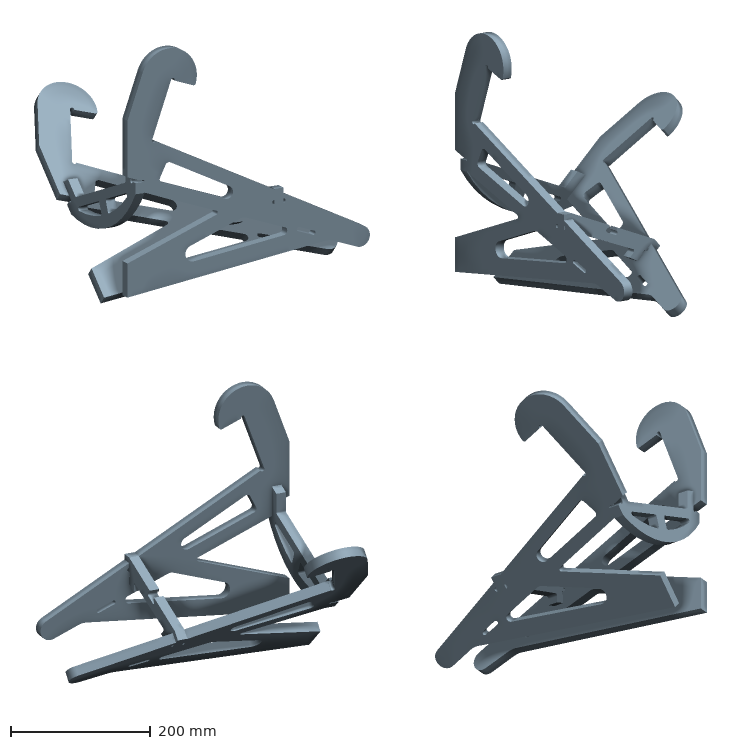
import cadquery as cq
import math


THICKNESS = 15.0
CUTTER_RADIUS = 3.0
OVERALL_WIDTH = 343.7
OVERALL_HEIGHT = 389.2
PLATE_ANGLE = 47.0
RAKE = 20.0
TOP_SLOPE = 26.7
UNDER_SLOPE = 7.2

HOOK_CENTRE = (67.7, 315.5)
HOOK_RADIUS = 45.5
THROAT = (71.3, 314.0)
NOSE_CENTRE = (380.0, 40.0)
NOSE_RADIUS = 16.0
HEEL_RADIUS = 27.7
NECK_BOTTOM = 178.5
LEG_TOP = 50.5
FORK_TOP = 162.5

FRONT_BEAM_Y = 13.0
FRONT_SEAT = 168.3
REAR_BEAM_Y = 240.0
REAR_SEAT = 106.5

UPPER_END_CENTRE = (162.7, 134.2)
UPPER_END_RADIUS = 9.5
UPPER_FRONT_POINT = (57.5, 179.5)
UPPER_CORNER_RADIUS = 6.0
LOWER_REAR_CENTRE = (255.0, 64.0)
LOWER_REAR_RADIUS = 6.0
LOWER_FRONT_CENTRE = (107.0, 51.5)
LOWER_FRONT_RADIUS = 12.3
LOWER_APEX_RADIUS = 12.0
SLOT_FRONT = (279.5, 64.0)
SLOT_LENGTH = 25.7

FRONT_TOP_EDGE = 161.5
FRONT_BOTTOM = 151.5
FRONT_LUG_TIP = 198.0
REAR_END_TOP = 129.0
REAR_BOTTOM_EDGE = 96.5
REAR_LUG_TIP = 88.0
LUG_SLANT = 6.0
BELLY_SAG = 34.0
BEAM_WINDOW_LENGTH = 176.5
BEAM_WINDOW_SAG = 21.8
BEAM_WINDOW_DROP = 14.5
RIB_WIDTH = 20.5
NOTCH_DEPTH = 11.0


def polar(centre, radius, degrees):
    """Point on a circle."""
    angle = math.radians(degrees)
    return (centre[0] + radius * math.cos(angle), centre[1] + radius * math.sin(angle))


def meet(p, p_degrees, q, q_degrees):
    """Crossing of the line through p and the line through q, each given by its angle."""
    px, py = polar((0, 0), 1, p_degrees)
    qx, qy = polar((0, 0), 1, q_degrees)
    reach = ((q[0] - p[0]) * qy - (q[1] - p[1]) * qx) / (px * qy - py * qx)
    return (p[0] + reach * px, p[1] + reach * py)


def midpoint(p, q):
    return ((p[0] + q[0]) / 2, (p[1] + q[1]) / 2)


def in_plate(wire):
    """Sheet-thick solid from an outline in the plate's (Y, Z)."""
    return wire.extrude(THICKNESS)


def plate_sketch():
    return cq.Workplane("YZ")


def round_plate_corner(solid, corner, radius):
    """Round the through-thickness edge at a (Y, Z) corner."""
    place = (THICKNESS / 2, corner[0], corner[1])
    return solid.edges("|X").edges(cq.NearestToPointSelector(place)).fillet(radius)


def edge_relief(corner, edge_degrees, wall_degrees):
    """Centre on an edge, such that the relief just touches the wall at the corner."""
    spread = math.radians(wall_degrees - edge_degrees)
    return polar(corner, CUTTER_RADIUS / math.sin(spread), edge_degrees)


def plate_blank():
    """Plate with its outline and corner reliefs, before any opening."""
    front_tangent = polar(HOOK_CENTRE, HOOK_RADIUS, 180 - RAKE)
    front_top = meet(front_tangent, 90 - RAKE, (0, 0), 90)
    offset = (THROAT[0] - HOOK_CENTRE[0], THROAT[1] - HOOK_CENTRE[1])
    along = polar((0, 0), 1, -RAKE)
    lean = offset[0] * along[0] + offset[1] * along[1]
    gap = HOOK_RADIUS ** 2 - offset[0] ** 2 - offset[1] ** 2
    tip = polar(THROAT, math.sqrt(lean ** 2 + gap) - lean, -RAKE)

    nose_top = polar(NOSE_CENTRE, NOSE_RADIUS, 90 - TOP_SLOPE)
    nose_bottom = polar(NOSE_CENTRE, NOSE_RADIUS, 270 - RAKE)
    crotch = meet(THROAT, 90 - RAKE, nose_top, -TOP_SLOPE)
    heel = meet(nose_bottom, -RAKE, (0, 0), UNDER_SLOPE)
    apex = meet((0, LEG_TOP), RAKE, (0, FORK_TOP), -RAKE)
    wall_y = FRONT_BEAM_Y + THICKNESS
    wall_bottom = meet((0, FORK_TOP), -RAKE, (wall_y, 0), 90)
    wall_top = meet((0, NECK_BOTTOM), -RAKE, (wall_y, 0), 90)

    blank = in_plate(
        plate_sketch()
        .moveTo(0, NECK_BOTTOM)
        .lineTo(*front_top)
        .lineTo(*front_tangent)
        .threePointArc(polar(HOOK_CENTRE, HOOK_RADIUS, 90), tip)
        .lineTo(*THROAT)
        .lineTo(*crotch)
        .lineTo(*nose_top)
        .threePointArc(polar(NOSE_CENTRE, NOSE_RADIUS, 0), nose_bottom)
        .lineTo(*heel)
        .lineTo(0, 0)
        .lineTo(0, LEG_TOP)
        .lineTo(*apex)
        .lineTo(*wall_bottom)
        .lineTo(*wall_top)
        .close()
    )
    for corner, radius in ((tip, CUTTER_RADIUS), (heel, HEEL_RADIUS), (apex, CUTTER_RADIUS)):
        blank = round_plate_corner(blank, corner, radius)

    reliefs = [
        edge_relief(THROAT, -RAKE, 90 - RAKE),
        edge_relief(crotch, -TOP_SLOPE, 90 - RAKE),
        (wall_y - CUTTER_RADIUS, FRONT_SEAT),
    ]
    return blank.cut(in_plate(plate_sketch().pushPoints(reliefs).circle(CUTTER_RADIUS)))


def upper_window():
    top = polar(UPPER_END_CENTRE, UPPER_END_RADIUS, 90 - TOP_SLOPE)
    bottom = polar(UPPER_END_CENTRE, UPPER_END_RADIUS, 270 - RAKE)
    top_corner = meet(top, -TOP_SLOPE, UPPER_FRONT_POINT, 90 - TOP_SLOPE)
    bottom_corner = meet(bottom, -RAKE, UPPER_FRONT_POINT, 90 - TOP_SLOPE)
    window = in_plate(
        plate_sketch()
        .moveTo(*top_corner)
        .lineTo(*top)
        .threePointArc(polar(UPPER_END_CENTRE, UPPER_END_RADIUS, 0), bottom)
        .lineTo(*bottom_corner)
        .close()
    )
    for corner in (top_corner, bottom_corner):
        window = round_plate_corner(window, corner, UPPER_CORNER_RADIUS)
    return window


def lower_window():
    rear_top = polar(LOWER_REAR_CENTRE, LOWER_REAR_RADIUS, 90 - RAKE)
    rear_bottom = polar(LOWER_REAR_CENTRE, LOWER_REAR_RADIUS, UNDER_SLOPE - 90)
    front_top = polar(LOWER_FRONT_CENTRE, LOWER_FRONT_RADIUS, 90 + RAKE)
    front_bottom = polar(LOWER_FRONT_CENTRE, LOWER_FRONT_RADIUS, UNDER_SLOPE - 90)
    apex = meet(rear_top, -RAKE, front_top, RAKE)
    window = in_plate(
        plate_sketch()
        .moveTo(*apex)
        .lineTo(*rear_top)
        .threePointArc(polar(LOWER_REAR_CENTRE, LOWER_REAR_RADIUS, 0), rear_bottom)
        .lineTo(*front_bottom)
        .threePointArc(polar(LOWER_FRONT_CENTRE, LOWER_FRONT_RADIUS, 180), front_top)
        .close()
    )
    return round_plate_corner(window, apex, LOWER_APEX_RADIUS)


def small_slot():
    middle = polar(SLOT_FRONT, SLOT_LENGTH / 2, -RAKE)
    size = SLOT_LENGTH + 2 * CUTTER_RADIUS
    return in_plate(plate_sketch().center(*middle).slot2D(size, 2 * CUTTER_RADIUS, -RAKE))


def rear_beam_slot():
    depth = OVERALL_HEIGHT - REAR_SEAT
    slot = in_plate(
        plate_sketch()
        .center(REAR_BEAM_Y + THICKNESS / 2, REAR_SEAT + depth / 2)
        .rect(THICKNESS, depth)
    )
    relief_z = REAR_SEAT + CUTTER_RADIUS
    reliefs = [(REAR_BEAM_Y, relief_z), (REAR_BEAM_Y + THICKNESS, relief_z)]
    return slot.union(in_plate(plate_sketch().pushPoints(reliefs).circle(CUTTER_RADIUS)))


def make_plate():
    """Plate in its own place, spanning one thickness from X = 0 towards +X."""
    plate = plate_blank()
    for opening in (upper_window(), lower_window(), small_slot(), rear_beam_slot()):
        plate = plate.cut(opening)
    return plate


PLATE_HEIGHT = HOOK_CENTRE[1] + HOOK_RADIUS
LEANING_FOOT = (
    PLATE_HEIGHT * math.sin(math.radians(PLATE_ANGLE)) - OVERALL_WIDTH,
    PLATE_HEIGHT - OVERALL_HEIGHT,
)


def on_upright(inset, height):
    """(X, Z) at an inset from the upright plate's outer face and a height along it."""
    return (-inset, height)


def on_leaning(inset, height):
    """(X, Z) at an inset from the leaning plate's outer face and a height along it."""
    return polar(polar(LEANING_FOOT, inset, PLATE_ANGLE), height, 90 + PLATE_ANGLE)


def beam_sketch(beam_y):
    return cq.Workplane("XZ", origin=(0, beam_y, 0))


def in_beam(wire):
    """Sheet-thick solid from an outline in (X, Z), starting at the sketch's Y."""
    return wire.extrude(-THICKNESS)


def round_beam_corner(solid, beam_y, corner, radius):
    """Round the through-thickness edge at an (X, Z) corner."""
    place = (corner[0], beam_y + THICKNESS / 2, corner[1])
    return solid.edges("|Y").edges(cq.NearestToPointSelector(place)).fillet(radius)


def slope_between(p, q):
    return math.degrees(math.atan2(q[1] - p[1], q[0] - p[0]))


def bow(p, q, sag):
    """Middle of an arc from p to q that bows to the right of that direction."""
    return polar(midpoint(p, q), sag, slope_between(p, q) - 90)


def front_beam_end(place):
    """One end of the front beam, from its foot to its top edge."""
    return [
        place(0, FRONT_BOTTOM),
        place(0, FRONT_SEAT),
        place(THICKNESS, FRONT_SEAT),
        place(THICKNESS, FRONT_LUG_TIP),
        place(2 * THICKNESS, FRONT_LUG_TIP - LUG_SLANT),
        place(2 * THICKNESS, FRONT_TOP_EDGE),
    ]


def front_beam_windows():
    """Bowed opening, parted by a rib across its middle."""
    top_left = on_leaning(2 * THICKNESS, FRONT_TOP_EDGE)
    top_right = on_upright(2 * THICKNESS, FRONT_TOP_EDGE)
    slope = slope_between(top_left, top_right)
    middle = polar(midpoint(top_left, top_right), BEAM_WINDOW_DROP, slope - 90)
    left = polar(middle, -BEAM_WINDOW_LENGTH / 2, slope)
    right = polar(middle, BEAM_WINDOW_LENGTH / 2, slope)
    opening = in_beam(
        beam_sketch(FRONT_BEAM_Y)
        .moveTo(*left)
        .threePointArc(bow(left, right, BEAM_WINDOW_SAG), right)
        .close()
    )
    rib = in_beam(
        beam_sketch(FRONT_BEAM_Y)
        .transformed(offset=(middle[0], middle[1], 0), rotate=(0, 0, slope))
        .rect(RIB_WIDTH, 4 * BEAM_WINDOW_SAG)
    )
    return opening.cut(rib).edges("|Y").fillet(CUTTER_RADIUS)


def make_front_beam():
    left_end = front_beam_end(on_leaning)
    right_end = front_beam_end(on_upright)
    belly = bow(left_end[0], right_end[0], BELLY_SAG)
    beam = in_beam(
        beam_sketch(FRONT_BEAM_Y)
        .polyline(right_end + left_end[::-1])
        .threePointArc(belly, right_end[0])
        .close()
    )
    for place in (on_leaning, on_upright):
        corner = place(2 * THICKNESS, FRONT_TOP_EDGE)
        beam = round_beam_corner(beam, FRONT_BEAM_Y, corner, CUTTER_RADIUS)
    reliefs = [place(THICKNESS - CUTTER_RADIUS, FRONT_SEAT) for place in (on_leaning, on_upright)]
    beam = beam.cut(in_beam(beam_sketch(FRONT_BEAM_Y).pushPoints(reliefs).circle(CUTTER_RADIUS)))
    return beam.cut(front_beam_windows())


def rear_beam_end(place):
    """One end of the rear beam, from its top edge to its bottom edge."""
    return [
        place(THICKNESS, REAR_END_TOP),
        place(0, REAR_END_TOP),
        place(0, REAR_SEAT),
        place(THICKNESS, REAR_SEAT),
        place(THICKNESS, REAR_LUG_TIP),
        place(2 * THICKNESS, REAR_LUG_TIP - LUG_SLANT),
        place(2 * THICKNESS, REAR_BOTTOM_EDGE),
    ]


def rear_beam_notch():
    """Sheet-wide notch in the middle of the top edge, relieved at both floor corners."""
    top_left = on_leaning(THICKNESS, REAR_END_TOP)
    top_right = on_upright(THICKNESS, REAR_END_TOP)
    middle = midpoint(top_left, top_right)
    slope = slope_between(top_left, top_right)
    sketch = beam_sketch(REAR_BEAM_Y).transformed(
        offset=(middle[0], middle[1], 0), rotate=(0, 0, slope)
    )
    relief_z = CUTTER_RADIUS - NOTCH_DEPTH
    reliefs = [(side * THICKNESS / 2, relief_z) for side in (-1, 1)]
    notch = in_beam(sketch.rect(THICKNESS, 2 * NOTCH_DEPTH))
    return notch.union(in_beam(sketch.pushPoints(reliefs).circle(CUTTER_RADIUS)))


def make_rear_beam():
    outline = rear_beam_end(on_upright) + rear_beam_end(on_leaning)[::-1]
    beam = in_beam(beam_sketch(REAR_BEAM_Y).polyline(outline).close())
    for place in (on_leaning, on_upright):
        corner = place(2 * THICKNESS, REAR_BOTTOM_EDGE)
        beam = round_beam_corner(beam, REAR_BEAM_Y, corner, CUTTER_RADIUS)
    reliefs = [place(THICKNESS, REAR_SEAT - CUTTER_RADIUS) for place in (on_leaning, on_upright)]
    beam = beam.cut(in_beam(beam_sketch(REAR_BEAM_Y).pushPoints(reliefs).circle(CUTTER_RADIUS)))
    return beam.cut(rear_beam_notch())


plate_places = [
    (0, (-THICKNESS, 0)),
    (PLATE_ANGLE, LEANING_FOOT),
]
plates = [
    make_plate().rotate((0, 0, 0), (0, 1, 0), -lean).translate((foot[0], 0, foot[1]))
    for lean, foot in plate_places
]
front_beam = make_front_beam()
rear_beam = make_rear_beam()

result = cq.Compound.makeCompound(
    [plate.val() for plate in plates] + [front_beam.val(), rear_beam.val()]
)